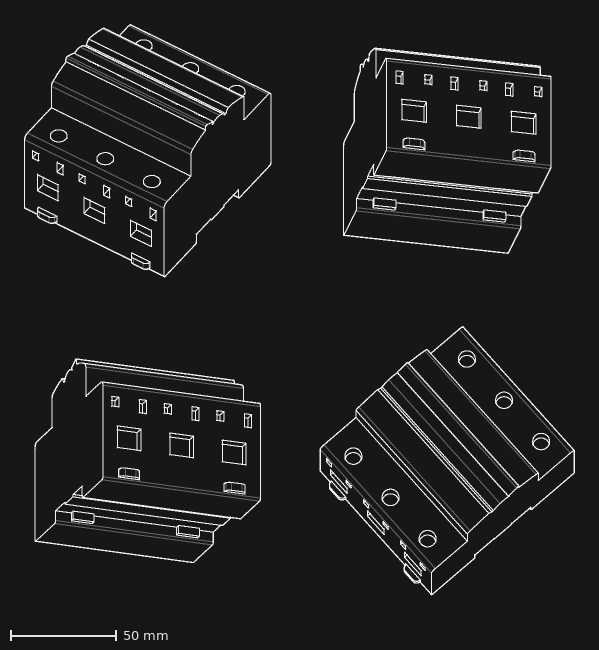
import cadquery as cq

width = 80.1
overall_depth = 95.2
overall_height = 73.6
pole_count = 3
pole_pitch = width / pole_count

body_depth = 90.2
half_depth = body_depth / 2
shoulder_height = 50.0
shoulder_radius = 2.5
foot_radius = 1.1

tower_half_depth = 22.5
back_wall_top = 65.3
front_wall_top = 64.7
groove_floor = 67.5
crest_height = 71.0
lever_back = -3.5
lever_front = -10.0
lever_tip_y = -9.2

slot_half_depth = 17.6
slot_height = 6.1
tongue_half_depth = 5.7
tongue_drop = 1.0
tongue_bevel = 0.5

clip_reach = (overall_depth - body_depth) / 2
clip_bottom = 2.1
clip_outer_x = 32.1
clip_inner_x = 21.4
clip_outer_taper = 0.6
clip_inner_taper = 1.3
clip_corner_radius = 2.4

screw_diameter = 8.0
screw_depth = 10.0
screw_y = 35.8

pocket_depth = 5.0
window_width = 12.0
window_height = 10.95
window_z = 22.5
slot_width = 3.5
short_slot_height = 4.9
short_slot_z = 40.1
tall_slot_height = 6.7
tall_slot_z = 39.5
slot_offset = 7.0

pole_positions = [(i - (pole_count - 1) / 2) * pole_pitch for i in range(pole_count)]


def extrude_across(profile):
    """Extrude a closed Y-Z profile over the full width, centred on X = 0."""
    return profile.extrude(width / 2, both=True)


def make_housing():
    """Box with rounded shoulders and the stepped rail slot cut from below."""
    block = cq.Workplane("XY").box(width, body_depth, shoulder_height, centered=(True, True, False))
    block = block.edges("|X and >Z").fillet(shoulder_radius)

    tongue_z = slot_height - tongue_drop
    rail_slot = extrude_across(
        cq.Workplane("YZ").polyline([
            (-slot_half_depth, 0),
            (-slot_half_depth, slot_height),
            (-tongue_half_depth, slot_height),
            (-tongue_half_depth + tongue_bevel, tongue_z),
            (tongue_half_depth - tongue_bevel, tongue_z),
            (tongue_half_depth, slot_height),
            (slot_half_depth, slot_height),
            (slot_half_depth, 0),
        ]).close()
    )
    return block.cut(rail_slot).edges("|X and <Z").fillet(foot_radius)


def make_tower():
    """Domed tower with a V groove, a rocker crest and the lever, from +Y to -Y."""
    root_z = shoulder_height / 2
    profile = (
        cq.Workplane("YZ")
        .moveTo(tower_half_depth, root_z)
        .lineTo(tower_half_depth, back_wall_top)
        .threePointArc((22.0, 66.2), (20.7, 66.9))
        .threePointArc((15.0, 68.8), (8.9, 70.1))
        .lineTo(6.95, groove_floor)
        .lineTo(6.0, groove_floor)
        .threePointArc((3.7, 69.9), (1.8, 70.7))
        .threePointArc((0, crest_height), (-4.2, 69.7))
        .lineTo(lever_back, 70.4)
        .lineTo(lever_back, 71.0)
        .lineTo(-8.7, 73.4)
        .threePointArc((lever_tip_y, overall_height), (-9.9, 73.2))
        .threePointArc((-10.4, 72.1), (lever_front, 70.7))
        .threePointArc((-15.6, 69.3), (-20.9, 66.9))
        .threePointArc((-22.0, 66.1), (-tower_half_depth, front_wall_top))
        .lineTo(-tower_half_depth, root_z)
        .close()
    )
    return extrude_across(profile)


def make_clip():
    """Sliding clip at the -X, -Y corner: rounded outside, square inside the rail slot."""
    tip_y = -overall_depth / 2
    tail_y = -slot_half_depth + clip_reach
    bar = (
        cq.Workplane("XY", origin=(0, 0, clip_bottom))
        .polyline([
            (-clip_outer_x, tail_y),
            (-clip_outer_x, -half_depth),
            (-clip_outer_x + clip_outer_taper, tip_y),
            (-clip_inner_x - clip_inner_taper, tip_y),
            (-clip_inner_x, -half_depth),
            (-clip_inner_x, tail_y),
        ])
        .close()
        .extrude(slot_height - clip_bottom)
    )
    return bar.edges("|Z and <Y").fillet(clip_corner_radius)


def make_side_pocket(x, z, pocket_width, pocket_height):
    """Rectangular pocket cutter sunk into the -Y side."""
    return cq.Workplane("XY").box(
        pocket_width, pocket_depth, pocket_height
    ).translate((x, -half_depth + pocket_depth / 2, z))


def mirrored(shape, plane):
    """The shape together with its mirror image."""
    return [shape, shape.mirror(plane)]


result = make_housing().union(make_tower())

for side_clip in mirrored(make_clip(), "YZ"):
    for clip in mirrored(side_clip, "XZ"):
        result = result.union(clip)

for pole_x in pole_positions:
    pockets = [
        make_side_pocket(pole_x, window_z, window_width, window_height),
        make_side_pocket(pole_x - slot_offset, short_slot_z, slot_width, short_slot_height),
        make_side_pocket(pole_x + slot_offset, tall_slot_z, slot_width, tall_slot_height),
    ]
    for pocket in pockets:
        for cutter in mirrored(pocket, "XZ"):
            result = result.cut(cutter)

screw_holes = (
    cq.Workplane("XY", origin=(0, 0, shoulder_height))
    .pushPoints([(x, y) for x in pole_positions for y in (-screw_y, screw_y)])
    .circle(screw_diameter / 2)
    .extrude(-screw_depth)
)
result = result.cut(screw_holes)